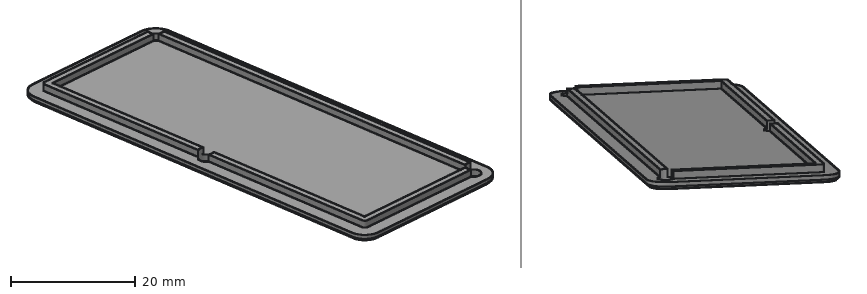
import cadquery as cq

length = 76.2
width = 31.8
total_height = 2.5
plate_thickness = total_height / 2
corner_radius = 3.05
bottom_chamfer = 0.5

rim_inset = 2.5
rim_wall = 1.2
rim_corner_radius = corner_radius - rim_inset

hole_diameter = 2.6
hole_inset = rim_inset + rim_wall / 2
hole_x = length / 2 - hole_inset
hole_y = width / 2 - hole_inset
hole_centres = [(-hole_x, hole_y), (hole_x, hole_y), (0, -hole_y)]


def make_plate():
    """Rounded plate with its underside edge chamfered."""
    plate = cq.Workplane("XY").box(length, width, plate_thickness, centered=(True, True, False))
    return plate.edges("|Z").fillet(corner_radius).faces("<Z").edges().chamfer(bottom_chamfer)


def make_rim():
    """Rectangular rim with rounded outer corners and sharp inner corners."""
    outer_length = length - 2 * rim_inset
    outer_width = width - 2 * rim_inset
    outer = cq.Workplane("XY").box(outer_length, outer_width, total_height, centered=(True, True, False))
    outer = outer.edges("|Z").fillet(rim_corner_radius)
    inner = cq.Workplane("XY").box(
        outer_length - 2 * rim_wall,
        outer_width - 2 * rim_wall,
        total_height,
        centered=(True, True, False),
    )
    return outer.cut(inner)


def make_holes():
    """Cylinders for the two rear corner holes and the front middle hole."""
    return cq.Workplane("XY").pushPoints(hole_centres).circle(hole_diameter / 2).extrude(total_height)


result = make_plate().union(make_rim()).cut(make_holes())